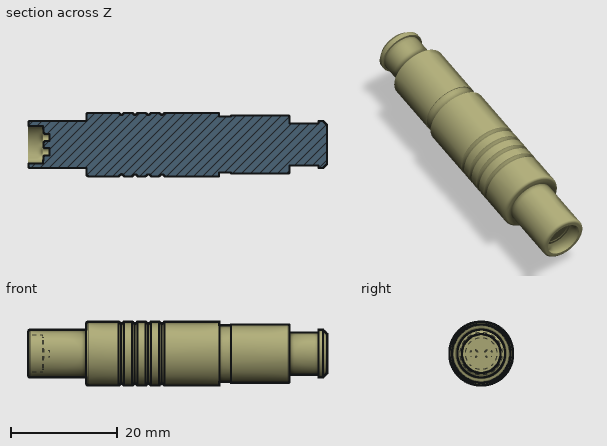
import cadquery as cq

total_length = 56.0

socket_radius = 4.5
socket_length = 10.85
edge_round = 0.45
bore_radius = 3.5
bore_depth = 2.7
inner_bore_radius = 2.95
inner_bore_depth = 0.15

body_radius = 6.0
body_end = 35.8
groove_count = 4
first_groove_start = 16.9
groove_pitch = 2.5
groove_width = 1.0
groove_depth = 0.4
groove_arc_rise = 0.085

neck_radius = 5.3
neck_end = 37.95
sleeve_radius = 5.5
sleeve_end = 48.95
sleeve_round = 0.3

tail_radius = 4.0
flange_radius = 4.5
flange_thickness = 1.7
flange_chamfer = 0.85

contact_radius = 0.8
contact_inner_radius = 0.6
contact_rim_depth = 0.1
contact_spacing = 2.7
contact_depth = 1.1


def cylinder(radius, start, end):
    """Solid cylinder on the X axis between two stations."""
    return cq.Workplane("YZ", origin=(start, 0, 0)).circle(radius).extrude(end - start)


def groove(start):
    """Ring with a straight front flank and a hollow rear flank, cut into the body surface."""
    middle = start + groove_width / 2
    return (
        cq.Workplane("XY")
        .moveTo(start, body_radius)
        .lineTo(middle, body_radius - groove_depth)
        .threePointArc(
            (middle + groove_width / 4, body_radius - groove_depth + groove_arc_rise),
            (start + groove_width, body_radius),
        )
        .close()
        .revolve(360, (0, 0, 0), (1, 0, 0))
    )


socket = cylinder(socket_radius, 0, socket_length).faces("<X").edges().fillet(edge_round)
body = cylinder(body_radius, socket_length, body_end).faces("<X").edges().fillet(edge_round)
neck = cylinder(neck_radius, body_end, neck_end)
sleeve = cylinder(sleeve_radius, neck_end, sleeve_end).faces(">X").edges().fillet(sleeve_round)
flange_start = total_length - flange_thickness
tail = cylinder(tail_radius, sleeve_end, flange_start)
flange = cylinder(flange_radius, flange_start, total_length).faces(">X").edges().chamfer(flange_chamfer)

for index in range(groove_count):
    body = body.cut(groove(first_groove_start + index * groove_pitch))

result = socket.union(body).union(neck).union(sleeve).union(tail).union(flange)

floor = bore_depth + inner_bore_depth
result = result.cut(cylinder(bore_radius, 0, bore_depth))
result = result.cut(cylinder(inner_bore_radius, bore_depth, floor))

for side in (-1, 1):
    offset = (0, side * contact_spacing / 2, 0)
    rim_end = floor + contact_rim_depth
    result = result.cut(cylinder(contact_radius, floor, rim_end).translate(offset))
    result = result.cut(cylinder(contact_inner_radius, rim_end, floor + contact_depth).translate(offset))